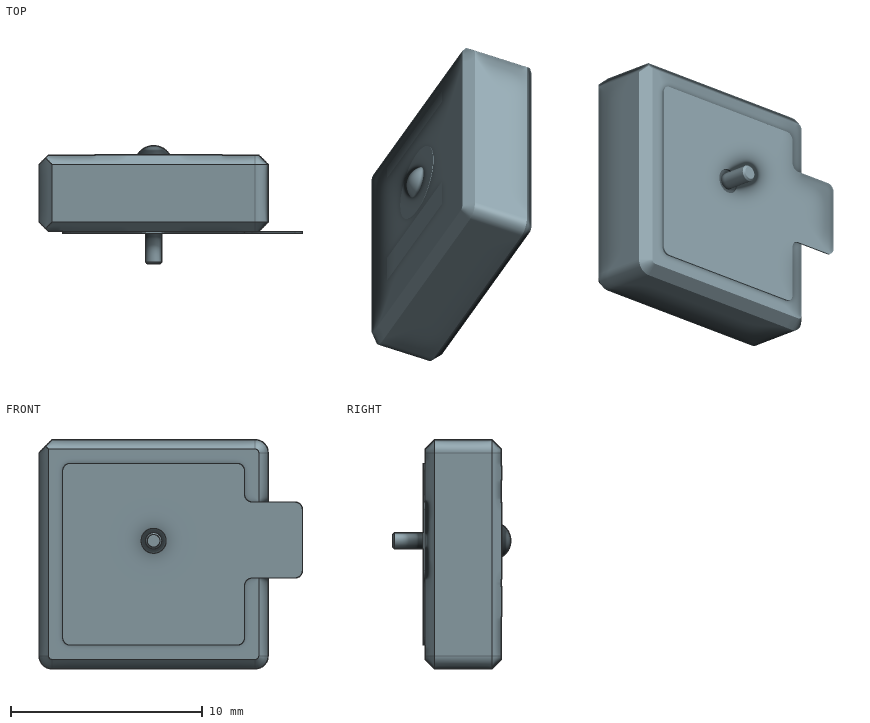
import cadquery as cq
import math


housing_side = 12.0
housing_depth = 4.0
corner_size = 0.69
face_chamfer = 0.5

plate_side = 9.52
plate_thickness = 0.1
plate_corner_radius = 0.4
tab_overhang = 1.8
tab_height = 3.99
tab_centre_z = 0.75
plate_hole_diameter = 1.31

pin_centre_z = 0.7
pin_diameter = 0.85
pin_projection = 1.6
pin_tip_chamfer = 0.1
head_diameter = 1.7
head_height = 0.5

layer_thickness = 0.021
disc_diameter = 4.0
strip_left_x = -3.06
strip_right_x = 3.59
upper_strip_z = (3.89, 4.61)
lower_strip_z = (-3.27, -1.7)

pin_radius = pin_diameter / 2
head_radius = head_diameter / 2


def workplane_facing_back(y):
    """XZ plane at depth y, with local axes +X and +Z; extruding by a negative length goes to +Y."""
    return cq.Workplane("XZ", origin=(0, y, 0))


def cylinder_about_pin(diameter, y, length):
    """Cylinder on the pin axis from depth y towards +Y."""
    return workplane_facing_back(y).center(0, pin_centre_z).circle(diameter / 2).extrude(-length)


def make_housing():
    block = workplane_facing_back(0).rect(housing_side, housing_side).extrude(-housing_depth)
    block = block.edges("|Y and (>X or <Z)").fillet(corner_size)
    block = block.faces("<Y or >Y").chamfer(face_chamfer)
    half_side = housing_side / 2
    flat_cut = (
        workplane_facing_back(0)
        .polyline([
            (-half_side, half_side),
            (-half_side, half_side - corner_size),
            (-half_side + corner_size, half_side),
        ])
        .close()
        .extrude(-housing_depth)
    )
    return block.cut(flat_cut).cut(cylinder_about_pin(pin_diameter, 0, housing_depth))


def make_plate():
    half_plate = plate_side / 2
    tab_end = housing_side / 2 + tab_overhang
    tab_bottom = tab_centre_z - tab_height / 2
    tab_top = tab_centre_z + tab_height / 2
    outline = [
        (-half_plate, -half_plate),
        (half_plate, -half_plate),
        (half_plate, tab_bottom),
        (tab_end, tab_bottom),
        (tab_end, tab_top),
        (half_plate, tab_top),
        (half_plate, half_plate),
        (-half_plate, half_plate),
    ]
    plate = workplane_facing_back(-plate_thickness).polyline(outline).close().extrude(-plate_thickness)
    plate = plate.edges("|Y").fillet(plate_corner_radius)
    return plate.cut(cylinder_about_pin(plate_hole_diameter, -plate_thickness, plate_thickness))


def make_pin():
    """Pin turned about its axis: chamfered tip, straight shank, and a spherical cap seated on the disc."""
    tip_y = -plate_thickness - pin_projection
    seat_y = housing_depth + layer_thickness
    head_top_y = housing_depth + head_height
    cap_height = head_top_y - seat_y
    cap_radius = (head_radius ** 2 + cap_height ** 2) / (2 * cap_height)
    half_angle = math.asin(head_radius / cap_radius) / 2
    cap_mid_radius = cap_radius * math.sin(half_angle)
    cap_mid_y = head_top_y - cap_radius * (1 - math.cos(half_angle))
    profile = (
        cq.Workplane("YZ", origin=(0, 0, pin_centre_z))
        .moveTo(tip_y, 0)
        .lineTo(tip_y, pin_radius - pin_tip_chamfer)
        .lineTo(tip_y + pin_tip_chamfer, pin_radius)
        .lineTo(seat_y, pin_radius)
        .lineTo(seat_y, head_radius)
        .threePointArc((cap_mid_y, cap_mid_radius), (head_top_y, 0))
        .close()
    )
    return profile.revolve(360, (0, 0, 0), (1, 0, 0))


def make_disc():
    disc = cylinder_about_pin(disc_diameter, housing_depth, layer_thickness)
    return disc.cut(cylinder_about_pin(pin_diameter, housing_depth, layer_thickness))


def make_strip(bottom_z, top_z):
    return (
        workplane_facing_back(housing_depth)
        .center((strip_left_x + strip_right_x) / 2, (bottom_z + top_z) / 2)
        .rect(strip_right_x - strip_left_x, top_z - bottom_z)
        .extrude(-layer_thickness)
    )


housing = make_housing()
plate = make_plate()
pin = make_pin()
disc = make_disc()
strips = [make_strip(bottom_z, top_z) for bottom_z, top_z in (upper_strip_z, lower_strip_z)]

result = cq.Compound.makeCompound(
    [housing.val(), plate.val(), pin.val(), disc.val(), *[strip.val() for strip in strips]]
)